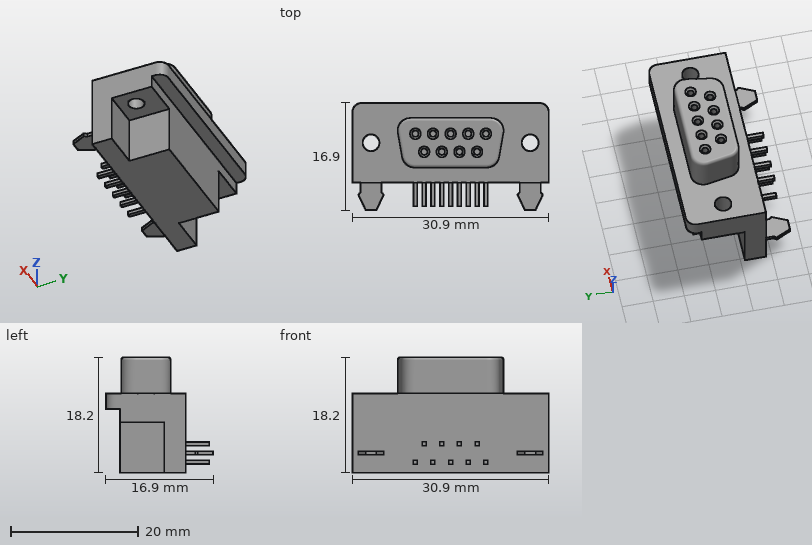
import cadquery as cq
import math


housing_width = 30.9
housing_height = 12.5
flange_depth = 12.55
flange_thickness = 2.5
flange_corner_radius = 1.5
flange_overhang = 2.2
body_depth = flange_depth - flange_overhang

recess_top_drop = 4.55
recess_height = housing_height - recess_top_drop
end_wall_depth = 3.4
center_block_width = 18.0
recess_width = (housing_width - center_block_width) / 2

mount_spacing = 25.0
mount_hole_diameter = 2.6
connector_y = flange_depth / 2

shell_depth = 7.8
shell_height = 5.7
shell_long_side = 17.42
shell_side_angle = 10.0
shell_corner_radius = 2.0
shell_edge_radius = 0.5
shell_top_z = housing_height + shell_height

contact_pitch = 2.77
row_pitch = 2.84
long_row_count = 5
short_row_count = long_row_count - 1
contact_bore_diameter = 1.0
contact_mouth_diameter = 1.7
contact_mouth_angle = 90.0
contact_depth = 5.0
pin_size = 0.63
pin_length = 3.7
lower_pin_z = 1.71
upper_pin_z = lower_pin_z + row_pitch

latch_thickness = 0.6
latch_z = (lower_pin_z + upper_pin_z) / 2
latch_neck_width = 3.35
latch_barb_width = 4.0
latch_tip_width = 1.7
latch_neck_length = 1.5
latch_barb_reach = 1.9
latch_length = 4.3

mount_xs = (-mount_spacing / 2, mount_spacing / 2)


def row_xs(count):
    """X positions of a row of contacts centred on the mid-plane."""
    return [(i - (count - 1) / 2) * contact_pitch for i in range(count)]


def front_block(width, depth, height):
    """Block centred on X, rising from Z = 0 and running back from Y = 0."""
    return cq.Workplane("XY").box(width, depth, height, centered=(True, False, False))


def make_housing():
    flange = (
        front_block(housing_width, flange_depth, flange_thickness)
        .edges("|Z and >Y")
        .fillet(flange_corner_radius)
        .translate((0, 0, housing_height - flange_thickness))
    )
    housing = front_block(housing_width, body_depth, housing_height).union(flange)
    recess_offset = (center_block_width + recess_width) / 2
    recess = front_block(recess_width, body_depth - end_wall_depth, recess_height)
    for side in (-1, 1):
        housing = housing.cut(recess.translate((side * recess_offset, end_wall_depth, 0)))
    return housing


def make_shell():
    side_inset = shell_depth * math.tan(math.radians(shell_side_angle))
    half_long = shell_long_side / 2
    half_short = half_long - side_inset
    back_y = connector_y + shell_depth / 2
    front_y = connector_y - shell_depth / 2
    outline = [
        (-half_long, back_y),
        (half_long, back_y),
        (half_short, front_y),
        (-half_short, front_y),
    ]
    return (
        cq.Workplane("XY", origin=(0, 0, housing_height))
        .polyline(outline)
        .close()
        .extrude(shell_height)
        .edges("|Z")
        .fillet(shell_corner_radius)
        .faces(">Z")
        .edges()
        .fillet(shell_edge_radius)
    )


def cut_contacts(part):
    long_row = [(x, connector_y + row_pitch / 2) for x in row_xs(long_row_count)]
    short_row = [(x, connector_y - row_pitch / 2) for x in row_xs(short_row_count)]
    return (
        part.copyWorkplane(cq.Workplane("XY", origin=(0, 0, shell_top_z)))
        .pushPoints(long_row + short_row)
        .cskHole(contact_bore_diameter, contact_mouth_diameter, contact_mouth_angle, contact_depth)
    )


def cut_mount_holes(part):
    return (
        part.copyWorkplane(cq.Workplane("XY", origin=(0, 0, housing_height)))
        .pushPoints([(x, connector_y) for x in mount_xs])
        .hole(mount_hole_diameter)
    )


def make_pins():
    lower_row = [(x, lower_pin_z) for x in row_xs(long_row_count)]
    upper_row = [(x, upper_pin_z) for x in row_xs(short_row_count)]
    return (
        cq.Workplane("XZ")
        .pushPoints(lower_row + upper_row)
        .rect(pin_size, pin_size)
        .extrude(pin_length)
    )


def make_latch(center_x):
    right_side = [
        (latch_neck_width / 2, 0),
        (latch_neck_width / 2, -latch_neck_length),
        (latch_barb_width / 2, -latch_barb_reach),
        (latch_tip_width / 2, -latch_length),
    ]
    left_side = [(-x, y) for x, y in reversed(right_side)]
    return (
        cq.Workplane("XY", origin=(center_x, 0, latch_z - latch_thickness / 2))
        .polyline(right_side + left_side)
        .close()
        .extrude(latch_thickness)
    )


result = make_housing().union(make_shell())
result = cut_contacts(result)
result = cut_mount_holes(result)
result = result.union(make_pins())
for mount_x in mount_xs:
    result = result.union(make_latch(mount_x))